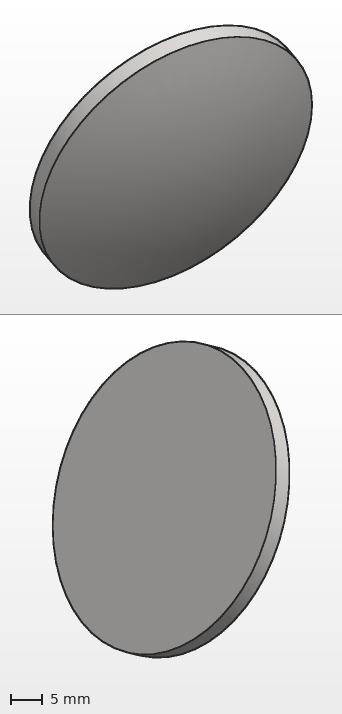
import cadquery as cq

diameter = 50.0
total_thickness = 6.95
edge_thickness = 3.0

radius = diameter / 2

sag = total_thickness - edge_thickness
sphere_radius = (radius**2 + sag**2) / (2 * sag)
arc_mid_y = radius / 2
arc_mid_x = total_thickness - sphere_radius + (sphere_radius**2 - arc_mid_y**2) ** 0.5

half_section = (
    cq.Workplane("XY")
    .moveTo(0, 0)
    .lineTo(0, radius)
    .lineTo(edge_thickness, radius)
    .threePointArc((arc_mid_x, arc_mid_y), (total_thickness, 0))
    .close()
)

result = half_section.revolve(360, (0, 0, 0), (1, 0, 0))